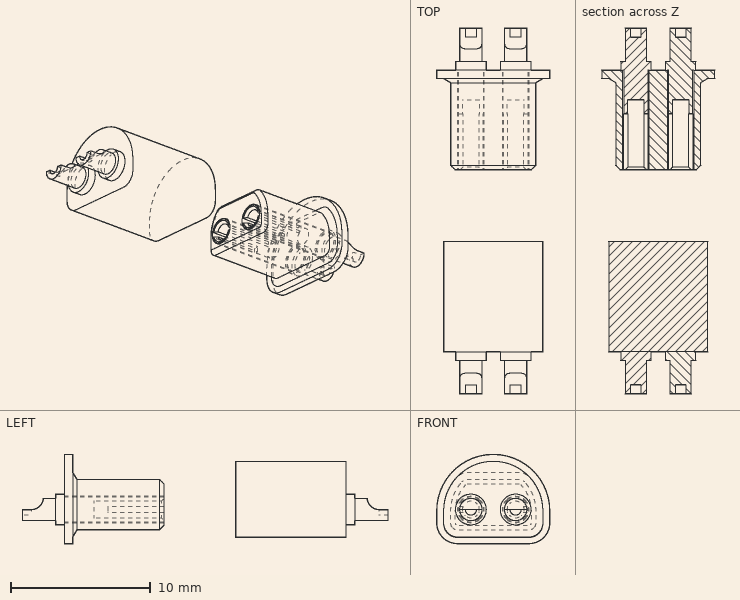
import cadquery as cq
import math


half_length = 13.07
tail_length = 2.37
collar_length = 0.63
housing_end = half_length - tail_length - collar_length

shell_radius = 3.55
shell_bottom = -1.9
shell_corner = 1.0
shell_length = 7.9

flange_radius = 4.05
flange_bottom = -2.35
flange_corner = 1.5
flange_thickness = 0.6

body_radius = 3.05
body_top = 2.25
body_bottom = -1.36
body_corner = 0.5
body_length = 6.53
nose_chamfer = 0.33
flare_width = 0.5
flare_length = 0.3

contact_spacing = 3.2
contact_height = 0.1
collar_diameter = 2.2
tail_diameter = 1.6
cup_diameter = 0.8
cup_depth = 0.64
cut_radius = 0.85

contact_hole_diameter = 1.9
sleeve_diameter = 1.8
bore_diameter = 1.2
bore_depth = 5.0
mouth_chamfer = 0.2
slit_height = 0.4
slit_length = 4.0

contact_positions = [(side * contact_spacing / 2, contact_height) for side in (-1, 1)]
flange_front = housing_end - flange_thickness
nose_face = flange_front - body_length


def section_at(y):
    """Workplane across the connector; a positive extrusion runs toward -Y."""
    return cq.Workplane("XZ", origin=(0, y, 0))


def domed_block(start, length, radius, bottom, corner):
    """Prism with a half-round top, straight sides and rounded bottom corners."""
    return (
        section_at(start)
        .moveTo(-radius, bottom)
        .lineTo(radius, bottom)
        .lineTo(radius, 0)
        .threePointArc((0, radius), (-radius, 0))
        .close()
        .extrude(length)
        .edges("|Y and <Z")
        .fillet(corner)
    )


def make_shell():
    rear_face = shell_length - housing_end
    return domed_block(rear_face, shell_length, shell_radius, shell_bottom, shell_corner)


def make_plug_body():
    """Domed body with its top cut flat, a chamfered nose and a flared root."""
    flat_half_width = math.sqrt(body_radius**2 - body_top**2)
    half_angle = math.asin(body_top / body_radius) / 2
    side_point = (body_radius * math.cos(half_angle), body_radius * math.sin(half_angle))
    body = (
        section_at(flange_front)
        .moveTo(-body_radius, body_bottom)
        .lineTo(body_radius, body_bottom)
        .lineTo(body_radius, 0)
        .threePointArc(side_point, (flat_half_width, body_top))
        .lineTo(-flat_half_width, body_top)
        .threePointArc((-side_point[0], side_point[1]), (-body_radius, 0))
        .close()
        .extrude(body_length)
        .edges("|Y and (<Z or >Z)")
        .fillet(body_corner)
    )
    flare_angle = math.degrees(math.atan2(flare_width, flare_length))
    flare = (
        section_at(flange_front - flare_length)
        .add(body.faces(">Y").wires().val().translate((0, -flare_length, 0)))
        .toPending()
        .extrude(-flare_length, taper=-flare_angle)
    )
    return body.faces("<Y").chamfer(nose_chamfer).union(flare)


def make_plug():
    flange = domed_block(housing_end, flange_thickness, flange_radius, flange_bottom, flange_corner)
    contact_holes = (
        section_at(housing_end)
        .pushPoints(contact_positions)
        .circle(contact_hole_diameter / 2)
        .extrude(housing_end - nose_face)
    )
    return flange.union(make_plug_body()).cut(contact_holes)


def make_tail():
    """Collar and solder tail on the Y axis, from the housing end face toward +Y."""
    collar = section_at(housing_end).circle(collar_diameter / 2).extrude(-collar_length)
    tail = section_at(housing_end).circle(tail_diameter / 2).extrude(-collar_length - tail_length)
    cup = section_at(half_length).circle(cup_diameter / 2).extrude(cup_depth)
    cut_start = half_length - cup_depth
    round_cut = (
        cq.Workplane("YZ", origin=(0, cut_start, cut_radius))
        .circle(cut_radius)
        .extrude(tail_diameter / 2, both=True)
    )
    flat_cut = (
        cq.Workplane("XY", origin=(0, cut_start, 0))
        .box(tail_diameter, cup_depth, cut_radius, centered=(True, False, False))
    )
    return collar.union(tail).cut(cup).cut(round_cut).cut(flat_cut)


def make_sleeve():
    """Socket on the Y axis, split by a horizontal slit at its mouth."""
    sleeve = section_at(housing_end).circle(sleeve_diameter / 2).extrude(housing_end - nose_face)
    bore = section_at(nose_face + bore_depth).circle(bore_diameter / 2).extrude(bore_depth)
    slit = (
        cq.Workplane("XY", origin=(0, nose_face, 0))
        .box(sleeve_diameter, slit_length, slit_height, centered=(True, False, True))
    )
    mouth_edge = cq.selectors.RadiusNthSelector(0)
    tube = sleeve.cut(bore).faces("<Y").edges(mouth_edge).chamfer(mouth_chamfer)
    return tube.cut(slit)


def place(contact):
    """One copy of the contact, made on the Y axis, at each contact position."""
    return [contact.translate((x, 0, z)).val() for x, z in contact_positions]


tail = make_tail()
shell = make_shell()
plug = make_plug()
shell_contacts = place(tail.mirror("XZ"))
plug_contacts = place(tail.union(make_sleeve()))

result = cq.Compound.makeCompound([shell.val(), plug.val(), *shell_contacts, *plug_contacts])